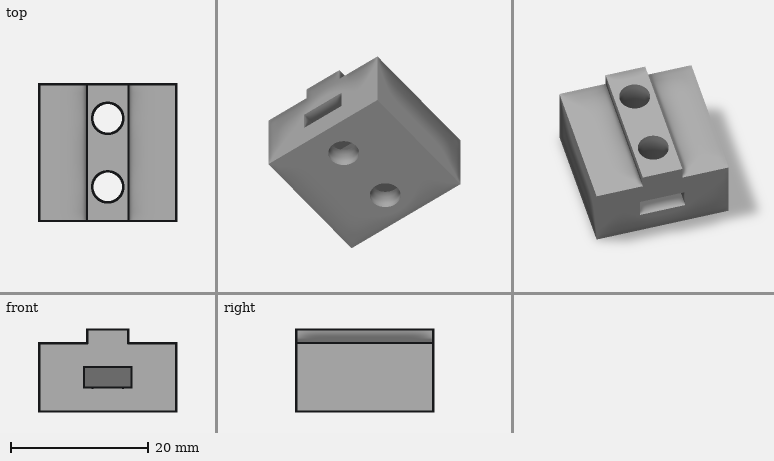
import cadquery as cq

BODY_WIDTH = 20.0
BODY_LENGTH = 20.0
BODY_HEIGHT = 10.0

RAIL_WIDTH = 6.0
RAIL_HEIGHT = 2.0

HOLE_DIAMETER = 4.5
HOLE_SPACING = BODY_LENGTH / 2

SLOT_WIDTH = 6.9
SLOT_HEIGHT = 3.0
SLOT_FLOOR_Z = (BODY_HEIGHT - SLOT_HEIGHT) / 2


def make_block():
    """Rectangular body with the guide rail on top."""
    body = cq.Workplane("XY").box(BODY_WIDTH, BODY_LENGTH, BODY_HEIGHT, centered=(True, True, False))
    rail = (
        cq.Workplane("XY", origin=(0, 0, BODY_HEIGHT))
        .box(RAIL_WIDTH, BODY_LENGTH, RAIL_HEIGHT, centered=(True, True, False))
    )
    return body.union(rail)


def make_screw_holes():
    """Cutting cylinders for the two screw holes, spaced along Y."""
    total_height = BODY_HEIGHT + RAIL_HEIGHT
    return (
        cq.Workplane("XY")
        .rarray(1, HOLE_SPACING, 1, 2)
        .circle(HOLE_DIAMETER / 2)
        .extrude(total_height)
    )


def make_nut_slot():
    """Cutting box entering from the -Y face, ending half a slot width beyond the front hole centre."""
    face_to_hole = (BODY_LENGTH - HOLE_SPACING) / 2
    slot_depth = face_to_hole + SLOT_WIDTH / 2
    return (
        cq.Workplane("XY", origin=(0, -BODY_LENGTH / 2, SLOT_FLOOR_Z))
        .box(SLOT_WIDTH, slot_depth, SLOT_HEIGHT, centered=(True, False, False))
    )


front_slot = make_nut_slot()
rear_slot = front_slot.mirror("XZ")

result = make_block().cut(make_screw_holes()).cut(front_slot).cut(rear_slot)